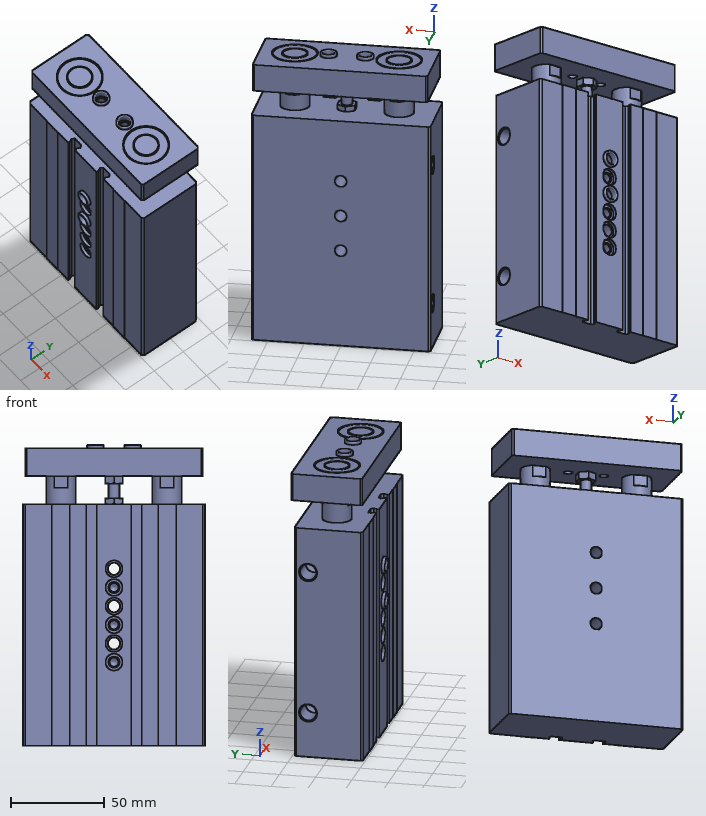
import cadquery as cq
import math


housing_width = 98.0
housing_height = 130.0
housing_back = 19.0
housing_front = -18.8
strip_rise = 0.2
strip_front = housing_front - strip_rise
corner_chamfer = 1.1

outer_strip_inner_x = 23.8
outer_strip_outer_x = 33.4

slot_inner_x = 9.4
slot_mouth = 5.7
slot_x = slot_inner_x + slot_mouth / 2
slot_cavity_width = 7.5
slot_lip = 1.3
slot_widest_depth = 3.2
slot_depth = 4.7

port_y = 11.3
port_heights = (25.1, 105.0)
port_diameter = 8.9
port_mouth_diameter = 10.0
port_depth = 13.8
drill_point_angle = 118

hole_count = 6
hole_pitch = 10.0
lowest_hole_z = 45.0
through_hole_diameter = 6.5
thread_mouth_diameter = 6.0
thread_core_diameter = 4.9
thread_depth = 9.7
sleeve_diameter = 9.0
sleeve_bore = through_hole_diameter
sleeve_height = 3.9
sleeve_protrusion = 1.8
sleeve_seat_depth = sleeve_height - sleeve_protrusion

hole_heights = [lowest_hole_z + i * hole_pitch for i in range(hole_count)]
threaded_heights = hole_heights[0::2]
through_heights = hole_heights[1::2]
front_sleeve_heights = through_heights[1:]

plate_gap = 15.0
plate_thickness = 15.0
plate_width = 95.7
plate_front = -18.1
plate_back = 21.0
plate_chamfer = 1.0
plate_bottom = housing_height + plate_gap
plate_top = plate_bottom + plate_thickness
ring_inner_diameter = 24.0
ring_outer_diameter = 25.0
ring_depth = (ring_outer_diameter - ring_inner_diameter) / 2
top_hole_x = hole_pitch

screw_diameter = 6.0
hex_across_flats = 9.5
nut_height = 4.0
head_height = 3.0
hex_edge_bevel = 0.5

rod_x = 28.5
rod_diameter = 16.0
spigot_diameter = 14.0
spigot_chamfer = 0.5
wrench_flats = 14.2
wrench_flat_height = 6.2
piston_diameter = 32.0
piston_bottom = 26.5
piston_length = 20.0


def box_between(x0, x1, y0, y1, z0, z1):
    """Box spanning the given coordinates."""
    return cq.Workplane("XY").box(x1 - x0, y1 - y0, z1 - z0, centered=False).translate((x0, y0, z0))


def revolve_profile(points):
    """Solid of revolution about Z from (radius, height) points."""
    return cq.Workplane("XZ").polyline(points).close().revolve(360, (0, 0), (0, 1))


def drilled_hole(diameter, depth):
    """Cutter for a drilled hole going down from Z = 0 to a conical end."""
    radius = diameter / 2
    tip = depth + radius / math.tan(math.radians(drill_point_angle / 2))
    return revolve_profile([(0, 0), (radius, 0), (radius, -depth), (0, -tip)])


def make_sleeve_seat():
    """Cutter for the recess that a centring sleeve fits, going down from Z = 0."""
    return cq.Workplane("XY").circle(sleeve_diameter / 2).extrude(-sleeve_seat_depth)


def make_mouth_chamfer(diameter):
    """Cutter for a 45 degree chamfer at the mouth of a hole, at Z = 0."""
    radius = diameter / 2
    return revolve_profile([(0, 0), (radius, 0), (0, -radius)])


def facing_front(shape, z):
    """Turn a shape whose axis points up so that it faces -Y on the middle strip at height z."""
    return shape.rotate((0, 0, 0), (1, 0, 0), 90).translate((0, strip_front, z))


def make_strips():
    """The middle strip and two outer strips, reaching back into the housing."""
    strips = box_between(-slot_inner_x, slot_inner_x, strip_front, 0, 0, housing_height)
    for side in (-1, 1):
        x0, x1 = sorted((side * outer_strip_inner_x, side * outer_strip_outer_x))
        strips = strips.union(box_between(x0, x1, strip_front, 0, 0, housing_height))
    return strips


def make_sensor_slot(x):
    """Slot over the full height, its cavity widening behind the lips and narrowing to the floor."""
    half_mouth = slot_mouth / 2
    half_cavity = slot_cavity_width / 2
    right_side = [
        (half_mouth, 0), (half_mouth, slot_lip), (half_cavity, slot_widest_depth), (half_mouth, slot_depth),
    ]
    left_side = [(-across, depth) for across, depth in reversed(right_side)]
    outline = cq.Workplane("XY").polyline(right_side + left_side).close()
    return outline.extrude(housing_height).translate((x, strip_front, 0))


def make_port(z):
    port = drilled_hole(port_diameter, port_depth).union(make_mouth_chamfer(port_mouth_diameter))
    return port.rotate((0, 0, 0), (0, 1, 0), -90).translate((-housing_width / 2, port_y, z))


def make_through_hole():
    hole_length = housing_back - strip_front
    return make_sleeve_seat().union(
        cq.Workplane("XY").circle(through_hole_diameter / 2).extrude(-hole_length))


def make_threaded_hole():
    core = drilled_hole(thread_core_diameter, thread_depth)
    thread = core.union(make_mouth_chamfer(thread_mouth_diameter))
    return make_sleeve_seat().union(thread.translate((0, 0, -sleeve_seat_depth)))


def make_rod_bore(x):
    """Cutter matching the shaft and piston of a guide rod."""
    shaft = cq.Workplane("XY").circle(rod_diameter / 2).extrude(housing_height - piston_bottom)
    piston = cq.Workplane("XY").circle(piston_diameter / 2).extrude(piston_length)
    return shaft.union(piston).translate((x, 0, piston_bottom))


def make_housing():
    half_width = housing_width / 2
    body = box_between(-half_width, half_width, housing_front, housing_back, 0, housing_height)
    body = body.edges("|Z").chamfer(corner_chamfer).union(make_strips())
    for side in (-1, 1):
        body = body.cut(make_sensor_slot(side * slot_x)).cut(make_rod_bore(side * rod_x))
    for z in port_heights:
        body = body.cut(make_port(z))
    for z in through_heights:
        body = body.cut(facing_front(make_through_hole(), z))
    for z in threaded_heights:
        body = body.cut(facing_front(make_threaded_hole(), z))
    return body


def make_ring_groove():
    """V-shaped ring groove with its widest part at Z = 0."""
    inner = ring_inner_diameter / 2
    outer = ring_outer_diameter / 2
    return revolve_profile([(inner, 0), (outer, 0), (inner, -ring_depth)])


def make_hexagon(z0, height):
    """Hexagon with its corners at +Y and -Y, its lower corners bevelled."""
    corner_radius = hex_across_flats / math.sqrt(3)
    prism = (cq.Workplane("XY").polygon(6, 2 * corner_radius).extrude(height)
             .rotate((0, 0, 0), (0, 0, 1), 30))
    envelope = (cq.Workplane("XY").circle(corner_radius).extrude(height)
                .faces("<Z").chamfer(hex_edge_bevel))
    return prism.intersect(envelope).translate((0, 0, z0))


def make_stop_screw():
    """Screw with its head on the housing and a lock nut against the plate."""
    shank = cq.Workplane("XY").circle(screw_diameter / 2).extrude(plate_gap)
    return (shank.translate((0, 0, housing_height))
            .union(make_hexagon(housing_height, head_height))
            .union(make_hexagon(plate_bottom - nut_height, nut_height)))


def make_yoke():
    half_width = plate_width / 2
    plate = box_between(-half_width, half_width, plate_front, plate_back, plate_bottom, plate_top)
    plate = plate.edges("|Z").chamfer(plate_chamfer)
    thread = cq.Workplane("XY").circle(thread_core_diameter / 2).extrude(-plate_thickness)
    thread_mouth = make_mouth_chamfer(thread_mouth_diameter).translate((0, 0, -sleeve_seat_depth))
    top_hole = make_sleeve_seat().union(thread).union(thread_mouth)
    spigot_hole = cq.Workplane("XY").circle(spigot_diameter / 2).extrude(-plate_thickness)
    for side in (-1, 1):
        plate = plate.cut(top_hole.translate((side * top_hole_x, 0, plate_top)))
        plate = plate.cut(spigot_hole.translate((side * rod_x, 0, plate_top)))
        plate = plate.cut(make_ring_groove().translate((side * rod_x, 0, plate_top)))
    return plate.union(make_stop_screw())


def make_guide_rod(x):
    """Rod with a piston at its foot, wrench flats below the plate and a spigot through it."""
    shaft = cq.Workplane("XY").circle(rod_diameter / 2).extrude(plate_bottom - piston_bottom)
    shaft = shaft.translate((0, 0, piston_bottom))
    flats_bottom = plate_bottom - wrench_flat_height
    for side in (-1, 1):
        y0, y1 = sorted((side * wrench_flats / 2, side * rod_diameter))
        shaft = shaft.cut(box_between(-rod_diameter, rod_diameter, y0, y1, flats_bottom, plate_bottom))
    piston = cq.Workplane("XY").circle(piston_diameter / 2).extrude(piston_length)
    spigot = (cq.Workplane("XY").circle(spigot_diameter / 2).extrude(plate_thickness)
              .faces(">Z").chamfer(spigot_chamfer))
    rod = (shaft.union(piston.translate((0, 0, piston_bottom)))
           .union(spigot.translate((0, 0, plate_bottom))))
    return rod.translate((x, 0, 0))


def make_sleeve():
    """Sleeve seated below Z = 0 and standing proud of it, its proud rim fully rounded."""
    inner = sleeve_bore / 2
    outer = sleeve_diameter / 2
    rim_radius = (outer - inner) / 2
    shoulder = sleeve_protrusion - rim_radius
    return (cq.Workplane("XZ").moveTo(inner, -sleeve_seat_depth)
            .lineTo(outer, -sleeve_seat_depth)
            .lineTo(outer, shoulder)
            .threePointArc((outer - rim_radius, sleeve_protrusion), (inner, shoulder))
            .close().revolve(360, (0, 0), (0, 1)))


housing = make_housing()
yoke = make_yoke()
guide_rods = [make_guide_rod(side * rod_x) for side in (-1, 1)]
front_sleeves = [facing_front(make_sleeve(), z) for z in front_sleeve_heights]
top_sleeves = [make_sleeve().translate((side * top_hole_x, 0, plate_top)) for side in (-1, 1)]

bodies = [housing, yoke, *guide_rods, *front_sleeves, *top_sleeves]
result = cq.Compound.makeCompound([body.solids().val() for body in bodies])